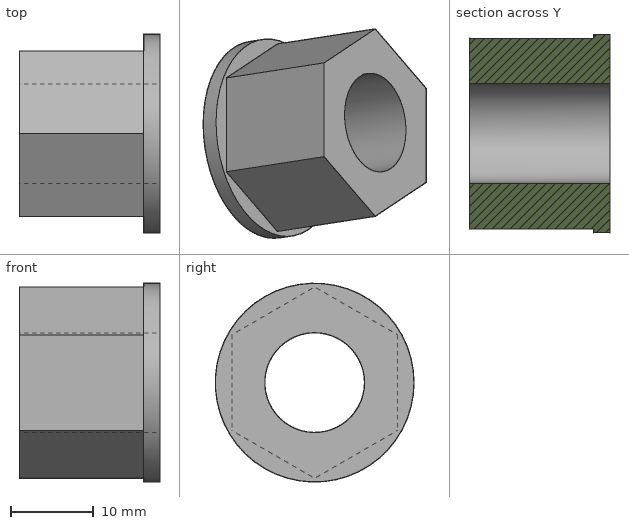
import cadquery as cq
import math

flange_diameter = 24.0
flange_thickness = 2.0
total_length = 17.0
hex_across_flats = 20.0
bore_diameter = flange_diameter / 2

hex_length = total_length - flange_thickness
hex_across_corners = hex_across_flats / math.cos(math.radians(30))

hex_plane = cq.Plane(origin=(0, 0, 0), xDir=(0, 0, 1), normal=(1, 0, 0))
body = cq.Workplane(hex_plane).polygon(6, hex_across_corners).extrude(hex_length)

flange = (
    cq.Workplane("YZ", origin=(hex_length, 0, 0))
    .circle(flange_diameter / 2)
    .extrude(flange_thickness)
)

bore = cq.Workplane("YZ").circle(bore_diameter / 2).extrude(total_length)

result = body.union(flange).cut(bore)